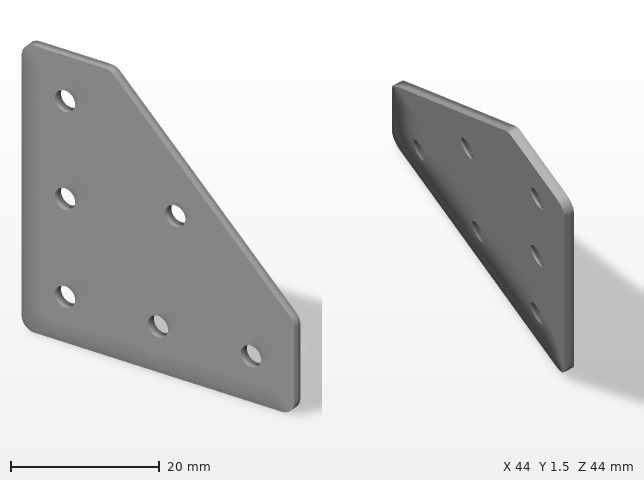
import cadquery as cq

leg_length = 44.0
thickness = 1.5
corner_radius = 2.0

short_edge = 14.3

hole_diameter = 3.25
hole_inset = 7.0
hole_pitch = 15.0
holes_per_leg = 3
diagonal_hole_offset = 24.8


def make_plate():
    """Square plate with one corner cut off at 45 degrees and all corners rounded."""
    outline = [
        (0, 0),
        (leg_length, 0),
        (leg_length, short_edge),
        (short_edge, leg_length),
        (0, leg_length),
    ]
    plate = cq.Workplane("XZ").polyline(outline).close().extrude(-thickness)
    return plate.edges("|Y").fillet(corner_radius)


def hole_centers():
    """An L of evenly spaced holes along both legs, plus one hole on the diagonal."""
    leg_positions = [hole_inset + i * hole_pitch for i in range(holes_per_leg)]
    bottom_row = [(x, hole_inset) for x in leg_positions]
    left_column = [(hole_inset, z) for z in leg_positions[1:]]
    return bottom_row + left_column + [(diagonal_hole_offset, diagonal_hole_offset)]


def make_hole_cutters():
    return (
        cq.Workplane("XZ")
        .pushPoints(hole_centers())
        .circle(hole_diameter / 2)
        .extrude(-thickness)
    )


result = make_plate().cut(make_hole_cutters())